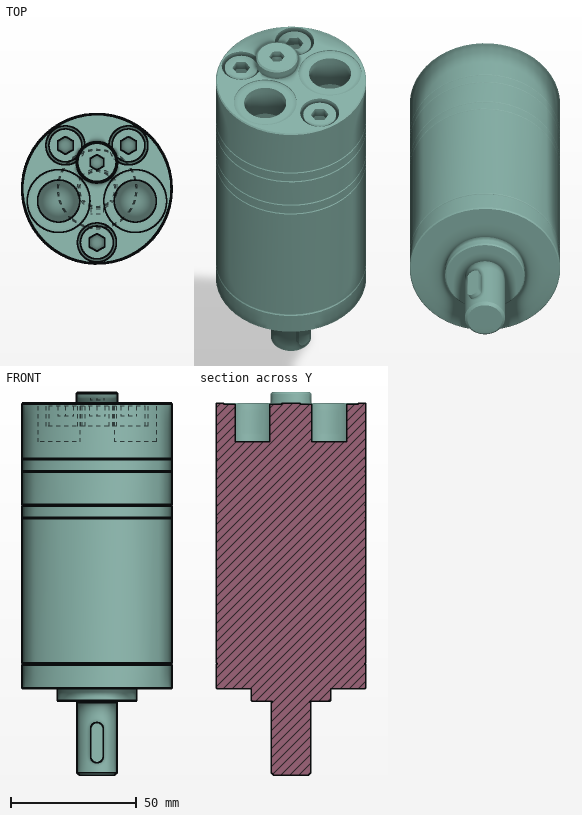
import cadquery as cq
import math

total_height = 152.5
body_top = 148.2
body_bottom = 34.5
flange_bottom = 29.5
joint_heights = [102.5, 107.5, 121.0, 126.0]
base_joint_height = 44.4

body_radius = 60.0 / 2
flange_radius = 15.9
shaft_radius = 16.0 / 2
edge_chamfer = 0.5
joint_depth = 0.3
base_joint_depth = 0.5
shaft_end_chamfer = 1.0
shaft_neck_chamfer = 0.6

key_width = 5.0
key_length = 16.0
key_bottom = 5.0
key_outer = 9.9

port_x = 15.2
port_y = -4.9
port_radius = 8.4
port_depth = 15.2
spotface_radius = 12.5
spotface_depth = 0.5

screw_circle_radius = 21.4
screw_angles = [54, 126, 270]
counterbore_radius = 7.8
counterbore_depth = 9.0
head_radius = 6.5
head_recess = 1.0
head_hex_flats = 6.1
head_hex_depth = 4.0

plug_y = 10.5
plug_radius = 8.2
plug_chamfer = 0.6
plug_hex_flats = 5.3
plug_hex_depth = 3.0


def disc(x, y, bottom, top, radius):
    """Upright cylinder between two heights."""
    return cq.Workplane("XY", origin=(x, y, bottom)).circle(radius).extrude(top - bottom)


def hex_socket(x, y, top, flats, depth):
    """Hexagonal prism sunk below a height, with two flats facing along X."""
    corner_diameter = flats / math.cos(math.radians(30))
    plane = cq.Workplane("XY", origin=(x, y, top))
    return plane.transformed(rotate=(0, 0, 30)).polygon(6, corner_diameter).extrude(-depth)


def joint_groove(height, depth):
    """V-shaped ring where two neighbouring housing sections meet."""
    profile = [
        (body_radius - depth, height),
        (body_radius, height - depth),
        (body_radius + depth, height - depth),
        (body_radius + depth, height + depth),
        (body_radius, height + depth),
    ]
    return cq.Workplane("XZ").polyline(profile).close().revolve(360, (0, 0, 0), (0, 1, 0))


def make_housing():
    housing = disc(0, 0, body_bottom, body_top, body_radius).edges().chamfer(edge_chamfer)
    for height in joint_heights:
        housing = housing.cut(joint_groove(height, joint_depth))
    housing = housing.cut(joint_groove(base_joint_height, base_joint_depth))
    flange = disc(0, 0, flange_bottom, body_bottom, flange_radius)
    return housing.union(flange.faces("<Z").edges().chamfer(edge_chamfer))


def make_shaft():
    shaft = disc(0, 0, 0, flange_bottom, shaft_radius)
    shaft = shaft.faces("<Z").edges().chamfer(shaft_end_chamfer)
    return shaft.faces(">Z").edges().chamfer(shaft_neck_chamfer)


def make_key():
    """Round-ended key reaching from the shaft axis out to the -Y side."""
    plane = cq.Workplane("XZ", origin=(0, 0, key_bottom + key_length / 2))
    return plane.slot2D(key_length, key_width, 90).extrude(key_outer)


def cut_port(part, x):
    part = part.cut(disc(x, port_y, body_top - spotface_depth, body_top, spotface_radius))
    return part.cut(disc(x, port_y, body_top - port_depth, body_top, port_radius))


def add_screw(part, angle):
    """Counterbore with a sunken socket head standing on its floor."""
    x = screw_circle_radius * math.cos(math.radians(angle))
    y = screw_circle_radius * math.sin(math.radians(angle))
    floor = body_top - counterbore_depth
    head_top = body_top - head_recess
    part = part.cut(disc(x, y, floor, body_top, counterbore_radius))
    part = part.union(disc(x, y, floor, head_top, head_radius))
    return part.cut(hex_socket(x, y, head_top, head_hex_flats, head_hex_depth))


def make_plug():
    plug = disc(0, plug_y, body_top, total_height, plug_radius)
    plug = plug.faces(">Z").edges().chamfer(plug_chamfer)
    return plug.cut(hex_socket(0, plug_y, total_height, plug_hex_flats, plug_hex_depth))


result = make_housing().union(make_shaft()).union(make_key())
for side in (-1, 1):
    result = cut_port(result, side * port_x)
for screw_angle in screw_angles:
    result = add_screw(result, screw_angle)
result = result.union(make_plug())